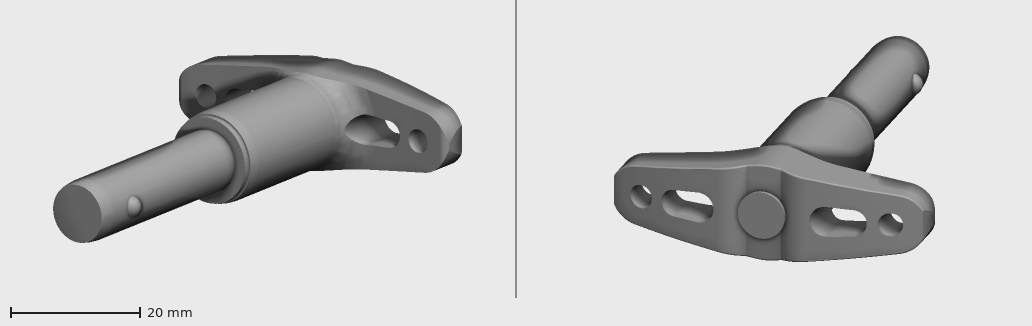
import cadquery as cq
import math

length = 70.4

handle_half_width = 25.8
end_radius = 4.9
apex_half_width = 1.2
flank_lean = math.radians(8.15)

crown_radius = 83.8
crown_rise = 0.175
end_top_half_width = 25.1
end_draft = math.radians(9)
underside_depth = 8.0
underside_end_depth = 8.8
dish_depth = 1.3
dish_floor_half_width = 2.8
dish_half_width = 5.35
crest_fillet = 5.6
underside_end_fillet = 1.05
top_edge_fillet = 0.3

slot_inner_x = 10.3
slot_inner_radius = 2.45
slot_outer_x = 14.5
slot_outer_radius = 2.2
hole_x = 20.3
hole_radius = 1.9

button_radius = 3.8
button_fillet = 0.8

sleeve_radius = 7.4
flare_radius = 4.4
sleeve_round_depth = 32.95
sleeve_end_depth = 34.65
sleeve_end_radius = 7.2
collar_radius = 6.9
collar_depth = 35.75
shank_radius = 5.0
tip_round_depth = 67.95
tip_radius = 4.65
ball_radius = 1.75
ball_reach = 6.05
ball_depth = 62.5


def crown_y(x):
    """Height of the crowned handle top at a given x."""
    return crown_rise - crown_radius + math.sqrt(crown_radius**2 - x**2)


def handle_plan():
    """Lozenge outline with rounded ends and a rounded apex, as a prism along Y."""
    end_center = handle_half_width - end_radius
    tangent_x = end_center + end_radius * math.sin(flank_lean)
    tangent_z = end_radius * math.cos(flank_lean)
    shoulder_z = tangent_z + (tangent_x - apex_half_width) * math.tan(flank_lean)
    apex_z = shoulder_z + apex_half_width * math.tan(flank_lean / 2)
    return (
        cq.Workplane("XZ")
        .moveTo(tangent_x, tangent_z)
        .lineTo(apex_half_width, shoulder_z)
        .threePointArc((0, apex_z), (-apex_half_width, shoulder_z))
        .lineTo(-tangent_x, tangent_z)
        .threePointArc((-handle_half_width, 0), (-tangent_x, -tangent_z))
        .lineTo(-apex_half_width, -shoulder_z)
        .threePointArc((0, -apex_z), (apex_half_width, -shoulder_z))
        .lineTo(tangent_x, -tangent_z)
        .threePointArc((handle_half_width, 0), (tangent_x, tangent_z))
        .close()
        .extrude(length / 2, both=True)
    )


def handle_profile():
    """Crowned profile with a dish under the button, as a prism along Z."""
    end_top_y = crown_y(end_top_half_width)
    end_bottom_x = end_top_half_width + (end_top_y + underside_end_depth) * math.tan(end_draft)
    dish_y = crown_y(dish_half_width)
    middle_x = (dish_half_width + end_top_half_width) / 2
    prism = (
        cq.Workplane("XY")
        .moveTo(-dish_floor_half_width, -dish_depth)
        .lineTo(dish_floor_half_width, -dish_depth)
        .lineTo(dish_half_width, dish_y)
        .threePointArc((middle_x, crown_y(middle_x)), (end_top_half_width, end_top_y))
        .lineTo(end_bottom_x, -underside_end_depth)
        .threePointArc((0, -underside_depth), (-end_bottom_x, -underside_end_depth))
        .lineTo(-end_top_half_width, end_top_y)
        .threePointArc((-middle_x, crown_y(middle_x)), (-dish_half_width, dish_y))
        .close()
        .extrude(handle_half_width, both=True)
    )
    for side in (-1, 1):
        crest = cq.selectors.NearestToPointSelector((side * dish_half_width, dish_y, 0))
        prism = prism.edges("|Z").edges(crest).fillet(crest_fillet)
        lower_end = cq.selectors.NearestToPointSelector((side * end_bottom_x, -underside_end_depth, 0))
        prism = prism.edges("|Z").edges(lower_end).fillet(underside_end_fillet)
    return prism


def handle():
    """Handle flared into the sleeve, trimmed to its outline, with the top rim rounded."""
    sleeve_start = cq.Workplane("XZ", origin=(0, -underside_depth / 2, 0))
    sleeve = sleeve_start.circle(sleeve_radius).extrude(sleeve_round_depth - underside_depth / 2)
    grip = handle_profile().union(sleeve)
    sleeve_root = cq.selectors.BoxSelector(
        (-handle_half_width / 2, -underside_end_depth, -handle_half_width / 2),
        (handle_half_width / 2, -underside_depth, handle_half_width / 2),
    )
    grip = grip.edges(sleeve_root).fillet(flare_radius)
    grip = grip.intersect(handle_plan())
    lowest_rim_y = crown_y(end_top_half_width) - top_edge_fillet
    top_zone = cq.selectors.BoxSelector(
        (-length, lowest_rim_y, -length),
        (length, length, length),
    )
    return grip.edges(top_zone).edges("not |Z").fillet(top_edge_fillet)


def pin():
    """Sleeve, collar and shank turned as one profile about Y."""
    return (
        cq.Workplane("XY")
        .moveTo(0, -underside_end_depth)
        .lineTo(sleeve_radius, -underside_end_depth)
        .lineTo(sleeve_radius, -sleeve_round_depth)
        .tangentArcPoint((sleeve_end_radius, -sleeve_end_depth), relative=False)
        .lineTo(collar_radius, -sleeve_end_depth)
        .lineTo(collar_radius, -collar_depth)
        .lineTo(shank_radius, -collar_depth)
        .lineTo(shank_radius, -tip_round_depth)
        .tangentArcPoint((tip_radius, -length), relative=False)
        .lineTo(0, -length)
        .close()
        .revolve(360, (0, 0), (0, 1))
    )


def button():
    """Round release button resting in the dish."""
    disc = cq.Workplane("XZ").circle(button_radius).extrude(dish_depth)
    return disc.faces("<Y").edges().fillet(button_fillet)


def slot(side):
    """Slot that tapers away from the pin, on the chosen side of the handle."""
    lean = math.asin((slot_inner_radius - slot_outer_radius) / (slot_outer_x - slot_inner_x))
    inner_x = slot_inner_x + slot_inner_radius * math.sin(lean)
    inner_z = slot_inner_radius * math.cos(lean)
    outer_x = slot_outer_x + slot_outer_radius * math.sin(lean)
    outer_z = slot_outer_radius * math.cos(lean)
    return (
        cq.Workplane("XZ")
        .moveTo(side * inner_x, inner_z)
        .lineTo(side * outer_x, outer_z)
        .threePointArc((side * (slot_outer_x + slot_outer_radius), 0), (side * outer_x, -outer_z))
        .lineTo(side * inner_x, -inner_z)
        .threePointArc((side * (slot_inner_x - slot_inner_radius), 0), (side * inner_x, inner_z))
        .close()
        .extrude(length / 2, both=True)
    )


def hole(side):
    """Round hole through the chosen end of the handle."""
    section = cq.Workplane("XZ").center(side * hole_x, 0).circle(hole_radius)
    return section.extrude(length / 2, both=True)


def ball(side):
    """Locking ball standing out of the chosen side of the shank."""
    center_x = side * (ball_reach - ball_radius)
    return cq.Workplane("XY").sphere(ball_radius).translate((center_x, -ball_depth, 0))


result = handle()
for side in (-1, 1):
    result = result.cut(slot(side)).cut(hole(side))
result = result.union(pin()).union(button())
for side in (-1, 1):
    result = result.union(ball(side))